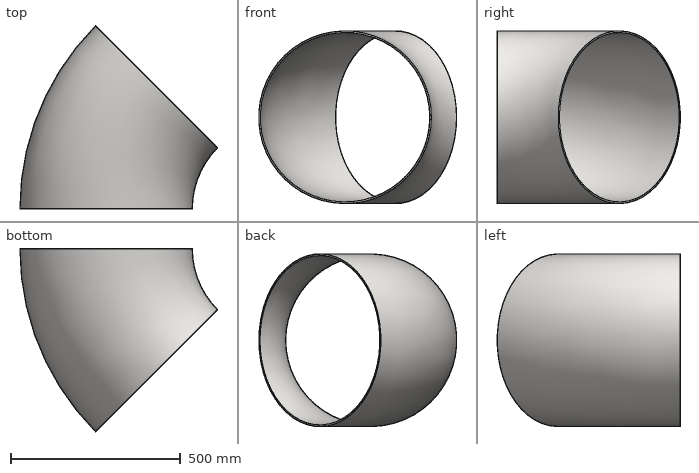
import cadquery as cq
import math

overall_length = 582.5
bend_angle = 45.0
wall = 5.0

outer_radius = overall_length / (3 - math.cos(math.radians(bend_angle)))
inner_radius = outer_radius - wall
bend_radius = 2 * outer_radius

pipe_section = cq.Workplane("XZ").circle(outer_radius).circle(inner_radius)
bend_axis_start = (bend_radius, 0)
bend_axis_end = (bend_radius, -1)
result = pipe_section.revolve(bend_angle, bend_axis_start, bend_axis_end)